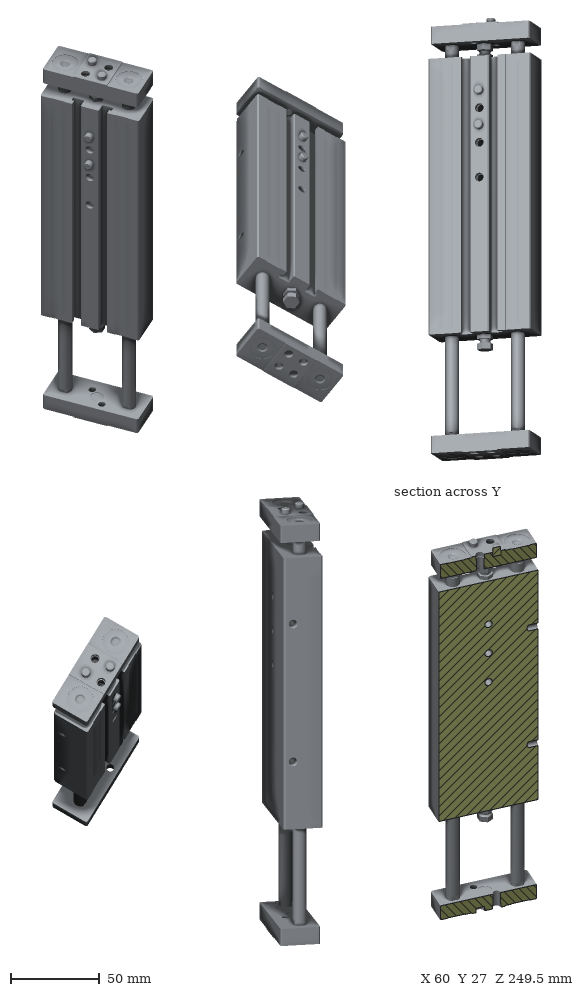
import cadquery as cq
import math

housing_width = 60.0
housing_front = -11.0
housing_back = 11.5
housing_bottom = 68.5
housing_length = 158.5
housing_top = housing_bottom + housing_length
front_chamfer = 0.7
back_chamfer_width = 0.7
back_chamfer_depth = 1.5

slot_near = 5.5
slot_far = 10.7
slot_lip = 3.0
slot_undercut = 1.5
slot_depth = 5.5
slot_edge_chamfer = 0.5
panel_width = 8.2
panel_depth = 0.2

port_diameter = 4.2
port_mouth = 5.0
port_countersink = 0.5
port_depth = 6.0
port_y = 6.0
port_drops = (38.7, 119.2)
drill_point_angle = 118

hole_pitch = 10.0
hole_diameter = 4.2
pin_diameter = 5.0
pin_chamfer = 0.5
pin_seat_depth = 3.0
pin_projection = 3.0
pin_drops = (2 * hole_pitch, 4 * hole_pitch)
open_hole_drops = (3 * hole_pitch, 5 * hole_pitch, 7 * hole_pitch)

total_height = 249.5
plate_width = 58.0
plate_front = -10.0
plate_back = 13.0
plate_thickness = 10.0
plate_chamfer = 0.7
pad_width = 20.5
pad_height = 0.5
yoke_height = total_height - pin_projection
rod_diameter = 8.0
rod_offset = 19.5
flat_across = 6.7
flat_height = 2.7
seat_diameter = 15.0
seat_depth = 0.2
socket_mouth = 6.0
socket_diameter = 4.2
socket_depth = 0.5
stop_pad_diameter = 8.0
stop_pad_depth = 0.2

hex_across_flats = 8.0
screw_diameter = 6.0
screw_engagement = 10.0
nut_height = 2.5
head_height = 3.5
head_taper = 0.7
stop_length = 8.5

half_pitch = hole_pitch / 2
pin_spots = ((-half_pitch, half_pitch), (half_pitch, -half_pitch))
open_spots = ((-half_pitch, -half_pitch), (half_pitch, half_pitch))
rod_sides = (-rod_offset, rod_offset)
UP = cq.Vector(0, 0, 1)
DOWN = cq.Vector(0, 0, -1)
BACK = cq.Vector(0, 1, 0)


def box(x_limits, y_limits, z_limits):
    """Box between pairs of coordinate limits."""
    size = [high - low for low, high in (x_limits, y_limits, z_limits)]
    corner = (x_limits[0], y_limits[0], z_limits[0])
    return cq.Workplane("XY").box(*size, centered=False).translate(corner)


def cylinder(diameter, length, start, direction):
    """Cylinder from a start point along a direction."""
    return cq.Workplane(cq.Solid.makeCylinder(diameter / 2, length, cq.Vector(*start), direction))


def cone(start_diameter, end_diameter, length, start, direction):
    """Cone or frustum from a start point along a direction."""
    solid = cq.Solid.makeCone(start_diameter / 2, end_diameter / 2, length, cq.Vector(*start), direction)
    return cq.Workplane(solid)


def stepped_hole(length, start, direction):
    """Through hole with a wider mouth that fits a locating pin."""
    mouth = cylinder(pin_diameter, pin_seat_depth, start, direction)
    return cylinder(hole_diameter, length, start, direction).union(mouth)


def housing_outline():
    """Plan outline with chamfered corners, shallower in X than in Y at the back."""
    half_width = housing_width / 2
    front_x = half_width - front_chamfer
    back_x = half_width - back_chamfer_width
    right_points = [
        (front_x, housing_front),
        (half_width, housing_front + front_chamfer),
        (half_width, housing_back - back_chamfer_depth),
        (back_x, housing_back),
    ]
    left_points = [(-x, y) for x, y in reversed(right_points)]
    return cq.Workplane("XY").workplane(offset=housing_bottom).polyline(right_points + left_points).close()


def slot_profile(side):
    """Outline in plan of a slot undercut on its outer side, with its inner front edge chamfered."""
    lip = housing_front + slot_lip
    floor = housing_front + slot_depth
    undercut = slot_far + slot_undercut
    points = [
        (slot_near - slot_edge_chamfer, housing_front),
        (slot_far, housing_front),
        (slot_far, lip),
        (undercut, lip),
        (undercut, floor),
        (slot_near, floor),
        (slot_near, housing_front + slot_edge_chamfer),
    ]
    outline = [(side * x, y) for x, y in points]
    return cq.Workplane("XY").workplane(offset=housing_bottom).polyline(outline).close()


def side_port(drop):
    """Blind port with a countersunk mouth and a conical bottom in the -X side."""
    start = (-housing_width / 2, port_y, housing_top - drop)
    inward = cq.Vector(1, 0, 0)
    bottom = (start[0] + port_depth, start[1], start[2])
    point_length = port_diameter / 2 / math.tan(math.radians(drill_point_angle / 2))
    tip = cone(port_diameter, 0, point_length, bottom, inward)
    mouth = cone(port_mouth, port_diameter, port_countersink, start, inward)
    return cylinder(port_diameter, port_depth, start, inward).union(tip).union(mouth)


def make_housing():
    z_limits = (housing_bottom, housing_top)
    body = housing_outline().extrude(housing_length)
    for side in (-1, 1):
        body = body.cut(slot_profile(side).extrude(housing_length))
    for x in rod_sides:
        panel_limits = (x - panel_width / 2, x + panel_width / 2)
        body = body.cut(box(panel_limits, (housing_front, housing_front + panel_depth), z_limits))
        body = body.cut(cylinder(rod_diameter, housing_length, (x, 0, housing_bottom), UP))
    for drop in pin_drops:
        start = (0, housing_front, housing_top - drop)
        body = body.cut(cylinder(pin_diameter, pin_seat_depth, start, BACK))
    for drop in open_hole_drops:
        start = (0, housing_front, housing_top - drop)
        body = body.cut(stepped_hole(housing_back - housing_front, start, BACK))
    for drop in port_drops:
        body = body.cut(side_port(drop))
    body = body.cut(cylinder(screw_diameter, screw_engagement, (0, 0, housing_top), DOWN))
    body = body.cut(cylinder(screw_diameter, screw_engagement, (0, 0, housing_bottom), UP))
    return body


def make_end_plate():
    """Upper end plate with its outer pad face at Z = 0 and its inner face below."""
    half_width = plate_width / 2
    inner = -pad_height - plate_thickness
    y_limits = (plate_front, plate_back)
    plate = box((-half_width, half_width), y_limits, (inner, -pad_height))
    plate = plate.edges("|Z").chamfer(plate_chamfer)
    plate = plate.union(box((-pad_width / 2, pad_width / 2), y_limits, (inner, 0)))
    for x in rod_sides:
        seat_floor = -pad_height - seat_depth
        plate = plate.cut(cylinder(seat_diameter, seat_depth, (x, 0, -pad_height), DOWN))
        plate = plate.cut(cone(socket_mouth, socket_diameter, socket_depth, (x, 0, seat_floor), DOWN))
    for x, y in pin_spots:
        plate = plate.cut(cylinder(pin_diameter, pin_seat_depth, (x, y, 0), DOWN))
    for x, y in open_spots:
        plate = plate.cut(stepped_hole(-inner, (x, y, 0), DOWN))
    return plate


def make_rod(length):
    """Rod standing on Z = 0 with a pair of wrench flats at each end."""
    rod = cylinder(rod_diameter, length, (0, 0, 0), UP)
    radius = rod_diameter / 2
    for z_limits in ((0, flat_height), (length - flat_height, length)):
        for y_limits in ((-radius, -flat_across / 2), (flat_across / 2, radius)):
            rod = rod.cut(box((-radius, radius), y_limits, z_limits))
    return rod


def make_yoke():
    end_height = plate_thickness + pad_height
    plate = make_end_plate()
    yoke = plate.translate((0, 0, yoke_height))
    lower = plate.rotate((0, 0, 0), (0, 1, 0), 180)
    lower = lower.cut(cylinder(stop_pad_diameter, stop_pad_depth, (0, 0, end_height), DOWN))
    yoke = yoke.union(lower)
    rod = make_rod(yoke_height - 2 * end_height)
    for x in rod_sides:
        yoke = yoke.union(rod.translate((x, 0, end_height)))
    return yoke


def make_pin():
    """Pin standing on Z = 0 with a chamfered outer end."""
    body = cylinder(pin_diameter, pin_seat_depth + pin_projection, (0, 0, 0), UP)
    return body.faces(">Z").chamfer(pin_chamfer)


def hexagon(height, start_z):
    """Hexagonal prism with two corners on the Y axis."""
    across_corners = hex_across_flats / math.cos(math.pi / 6)
    prism = cq.Workplane("XY").polygon(6, across_corners).extrude(height)
    return prism.rotate((0, 0, 0), (0, 0, 1), 90).translate((0, 0, start_z))


def make_stop_screw():
    head_start = stop_length - head_height
    shank_length = screw_engagement + head_start
    shank = cylinder(screw_diameter, shank_length, (0, 0, -screw_engagement), UP)
    taper_start = (0, 0, head_start - head_taper)
    taper = cone(screw_diameter, hex_across_flats, head_taper, taper_start, UP)
    return shank.union(taper).union(hexagon(head_height, head_start))


def make_lock_nut():
    return hexagon(nut_height, 0).cut(cylinder(screw_diameter, nut_height, (0, 0, 0), UP))


def at_both_ends(body):
    """Copies of a stop part on the top and, turned over, on the bottom of the housing."""
    upper = body.translate((0, 0, housing_top))
    lower = body.rotate((0, 0, 0), (0, 1, 0), 180).translate((0, 0, housing_bottom))
    return [upper.val(), lower.val()]


housing = make_housing()
yoke = make_yoke()
stop_screws = at_both_ends(make_stop_screw())
lock_nuts = at_both_ends(make_lock_nut())

pin = make_pin()
plate_pins = []
for x, y in pin_spots:
    plate_pins.append(pin.translate((x, y, yoke_height - pin_seat_depth)).val())

front_pin = pin.rotate((0, 0, 0), (1, 0, 0), 90)
front_pins = []
for drop in pin_drops:
    spot = (0, housing_front + pin_seat_depth, housing_top - drop)
    front_pins.append(front_pin.translate(spot).val())

result = cq.Compound.makeCompound(
    [housing.val(), yoke.val(), *stop_screws, *lock_nuts, *plate_pins, *front_pins]
)